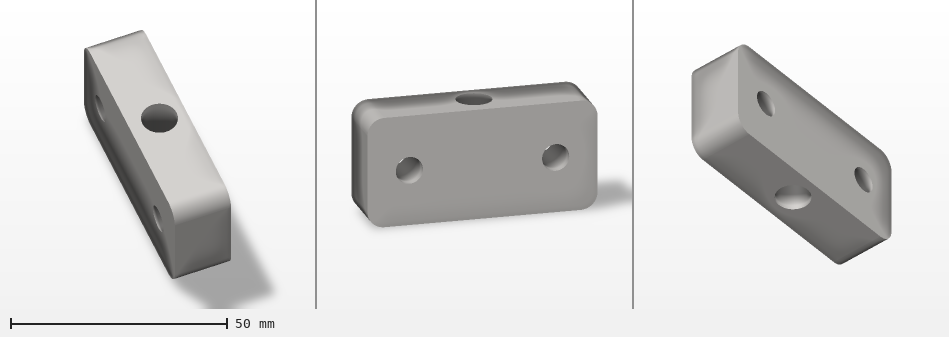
import cadquery as cq

length = 55.0
depth = 14.0
height = 26.6
corner_radius = 4.0

mount_hole_diameter = 6.5
mount_hole_spacing = 35.0

rod_hole_diameter = 8.5
rod_hole_offset_y = 0.5

block = cq.Workplane("XY").box(length, depth, height).edges("|Y").fillet(corner_radius)

mount_holes = (
    cq.Workplane("XZ")
    .pushPoints([(-mount_hole_spacing / 2, 0), (mount_hole_spacing / 2, 0)])
    .circle(mount_hole_diameter / 2)
    .extrude(depth, both=True)
)

rod_hole = (
    cq.Workplane("XY")
    .center(0, rod_hole_offset_y)
    .circle(rod_hole_diameter / 2)
    .extrude(height, both=True)
)

result = block.cut(mount_holes).cut(rod_hole)